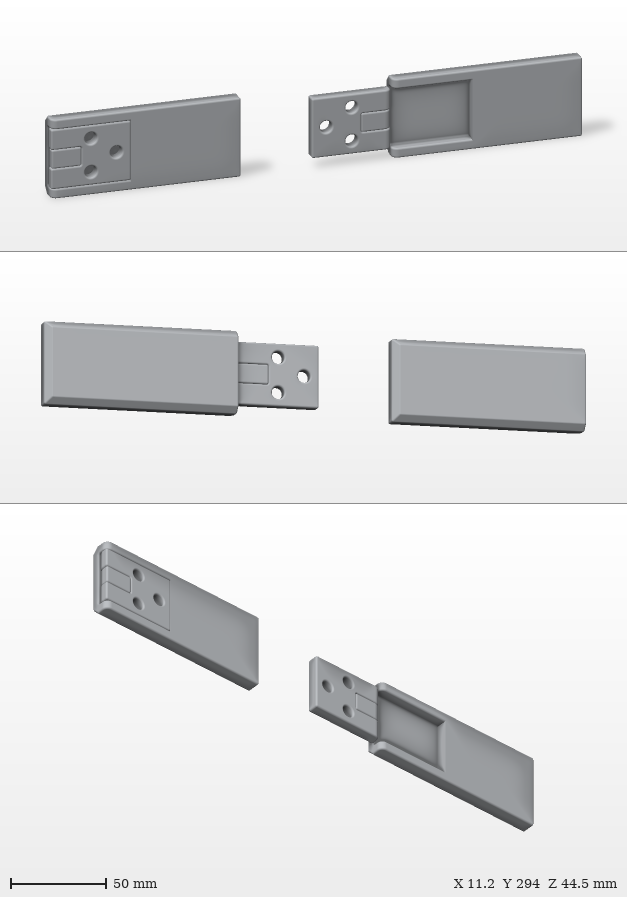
import cadquery as cq

total_length = 294.0
plug_gap = 0.5

case_length = 105.0
case_thickness = 11.2
case_width = 44.5
case_bevel = 3.5

plug_length = 44.0
plug_thickness = 6.8
plug_width = 33.5

key_width = 10.5
key_length = 16.5
key_recess = 0.3

edge_radius = 1.0
mating_radius = 3.5

hole_diameter = 6.8
pair_hole_setback = 22.0
pair_hole_offset = 9.5
single_hole_setback = 36.0

back_x = case_thickness / 2
plug_front_x = back_x - plug_thickness
plug_middle_x = back_x - plug_thickness / 2
slot_length = key_recess + key_length


def block(thickness, length, width):
    """Box with its back on the back plane, running toward +Y from its mating end at Y = 0."""
    box = cq.Workplane("XY").box(thickness, length, width, centered=(False, False, True))
    return box.translate((back_x - thickness, 0, 0))


def cut_pocket(case):
    """Pocket for a stored plug, open to the back and the mating end, with a rounded mouth."""
    pocket = block(plug_thickness, plug_length, plug_width)
    pocket = pocket.edges("|Y and <X").fillet(edge_radius)
    mouth_region = cq.selectors.BoxSelector(
        (plug_front_x - edge_radius, -edge_radius, -plug_width / 2 - edge_radius),
        (back_x + edge_radius, mating_radius + edge_radius, plug_width / 2 + edge_radius),
        boundingbox=True,
    )
    return case.cut(pocket).edges(mouth_region).edges("not |Y").fillet(edge_radius)


def make_case():
    """Case with three bevelled front edges and a large round at the back of its mating end."""
    case = block(case_thickness, case_length, case_width)
    case = case.faces("<X").edges("not <Y").chamfer(case_bevel)
    case = case.edges("|Z and >X and <Y").fillet(mating_radius)
    case = case.edges().fillet(edge_radius)
    return cut_pocket(case)


def drill_holes(plug):
    """Three holes through the plug along X, with rounded rims."""
    hole_centers = [
        (pair_hole_setback, pair_hole_offset),
        (pair_hole_setback, -pair_hole_offset),
        (single_hole_setback, 0),
    ]
    holes = (
        cq.Workplane("YZ", origin=(plug_front_x, 0, 0))
        .pushPoints(hole_centers)
        .circle(hole_diameter / 2)
        .extrude(plug_thickness)
    )
    return plug.cut(holes).edges("%CIRCLE and (<X or >X)").fillet(edge_radius)


def round_mating_body(body):
    """Large round at the front of the mating end, then small rounds on every edge."""
    return body.edges("|Z and <X and <Y").fillet(mating_radius).edges().fillet(edge_radius)


def make_plug():
    """Plug as it sits when stored, slotted at its mating end for the key."""
    slot = block(plug_thickness, slot_length, key_width)
    plug = block(plug_thickness, plug_length, plug_width).cut(slot)
    return drill_holes(round_mating_body(plug))


def make_key():
    """Key that fills the plug's slot from front to back."""
    key = block(plug_thickness, key_length, key_width).translate((0, key_recess, 0))
    return round_mating_body(key)


def stored(body):
    """Plug or key inside the near case, with its mating end flush with the case."""
    return body.translate((0, near_case_y, 0))


def drawn_out(body):
    """Plug or key turned end for end and placed just in front of the far case."""
    turned = body.rotate((plug_middle_x, 0, 0), (plug_middle_x, 0, 1), 180)
    return turned.translate((0, far_case_y - plug_gap, 0))


near_case_y = -total_length / 2
far_case_y = total_length / 2 - case_length

cases = [make_case().translate((0, y, 0)) for y in (near_case_y, far_case_y)]
plugs = [place(make_plug()) for place in (stored, drawn_out)]
keys = [place(make_key()) for place in (stored, drawn_out)]

result = cq.Compound.makeCompound([body.val() for body in cases + plugs + keys])